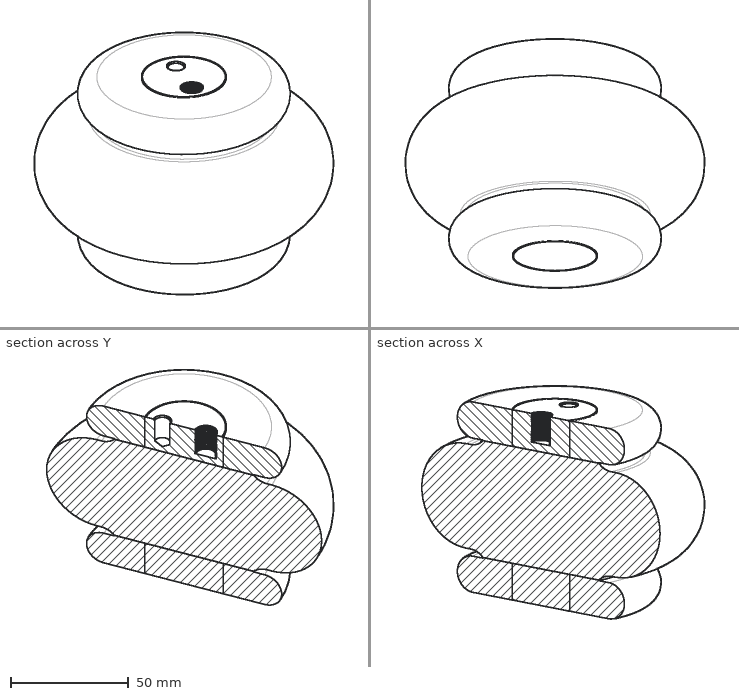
import cadquery as cq
import math

total_height = 84.0
outer_radius = 63.5

plate_height = 16.1
plate_radius = 45.1
rim_radius = plate_height / 2
plate_flat_radius = plate_radius - rim_radius
plate_inner_z = total_height / 2 - plate_height

belly_half_height = 23.1
belly_centre_radius = outer_radius - belly_half_height
neck_fillet_radius = 8.0
neck_start_radius = 38.1
neck_height = plate_inner_z - belly_half_height

disc_radius = 36.0 / 2
disc_edge_chamfer = 0.4

hole_offset = 10.0
screw_hole_diameter = 6.9
screw_hole_chamfer = 0.57
screw_hole_depth = 11.4
drill_point_angle = 118.0
port_crest_radius = 4.38
port_root_radius = 4.89
port_pitch = 0.9
port_groove_count = 14
port_depth = port_pitch * port_groove_count


def make_bellows():
    """Solid of revolution, symmetric about the XY plane."""
    arc_angle = math.acos(1 - neck_height / neck_fillet_radius)

    def neck_point(angle):
        radius = neck_start_radius - neck_fillet_radius * math.sin(angle)
        height = belly_half_height + neck_fillet_radius * (1 - math.cos(angle))
        return radius, height

    end_radius, end_z = neck_point(arc_angle)
    middle_radius, middle_z = neck_point(arc_angle / 2)
    return (
        cq.Workplane("XZ")
        .moveTo(0, -end_z)
        .lineTo(end_radius, -end_z)
        .threePointArc((middle_radius, -middle_z), (neck_start_radius, -belly_half_height))
        .lineTo(belly_centre_radius, -belly_half_height)
        .threePointArc((outer_radius, 0), (belly_centre_radius, belly_half_height))
        .lineTo(neck_start_radius, belly_half_height)
        .threePointArc((middle_radius, middle_z), (end_radius, end_z))
        .lineTo(0, end_z)
        .close()
        .revolve(360, (0, 0), (0, 1))
    )


def make_plate():
    """Upper end plate: a ring with a round rim and a central bore for the disc."""
    top_z = plate_inner_z + plate_height
    return (
        cq.Workplane("XZ")
        .moveTo(disc_radius, plate_inner_z)
        .lineTo(plate_flat_radius, plate_inner_z)
        .threePointArc((plate_radius, plate_inner_z + rim_radius), (plate_flat_radius, top_z))
        .lineTo(disc_radius, top_z)
        .close()
        .revolve(360, (0, 0), (0, 1))
    )


def make_disc():
    """Plain upper disc with a fine chamfer on its outer edge."""
    return (
        cq.Workplane("XY", origin=(0, 0, plate_inner_z))
        .circle(disc_radius)
        .extrude(plate_height)
        .faces(">Z")
        .edges()
        .chamfer(disc_edge_chamfer)
    )


def make_screw_hole():
    """Cutter with a chamfered mouth at z = 0 and a conical drill point."""
    radius = screw_hole_diameter / 2
    point_depth = radius / math.tan(math.radians(drill_point_angle / 2))
    return (
        cq.Workplane("XZ")
        .polyline([
            (0, 0),
            (radius + screw_hole_chamfer, 0),
            (radius, -screw_hole_chamfer),
            (radius, -screw_hole_depth),
            (0, -screw_hole_depth - point_depth),
        ])
        .close()
        .revolve(360, (0, 0), (0, 1))
    )


def make_port():
    """Cutter for the threaded port, its thread built as stacked V grooves."""
    profile = cq.Workplane("XZ").moveTo(0, 0).lineTo(port_root_radius, 0)
    for groove in range(port_groove_count):
        root_z = -groove * port_pitch
        profile = profile.lineTo(port_crest_radius, root_z - port_pitch / 2)
        profile = profile.lineTo(port_root_radius, root_z - port_pitch)
    return profile.lineTo(0, -port_depth).close().revolve(360, (0, 0), (0, 1))


bellows = make_bellows()
top_plate = make_plate()
bottom_plate = top_plate.mirror("XY")
plain_disc = make_disc()
bottom_disc = plain_disc.mirror("XY")
top_disc = (
    plain_disc
    .cut(make_screw_hole().translate((-hole_offset, 0, total_height / 2)))
    .cut(make_port().translate((hole_offset, 0, total_height / 2)))
)

result = cq.Compound.makeCompound([
    bellows.val(),
    top_plate.val(),
    bottom_plate.val(),
    top_disc.val(),
    bottom_disc.val(),
])